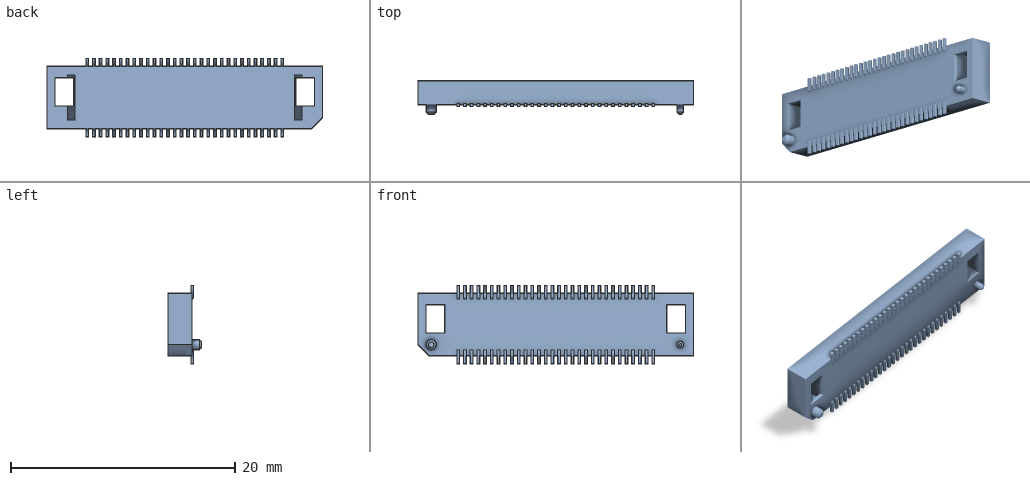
import cadquery as cq

BODY_LENGTH = 24.6
BODY_DEPTH = 2.15
BODY_HEIGHT = 5.6
CORNER_CHAMFER = 1.0

WINDOW_WIDTH = 1.65
WINDOW_HEIGHT = 2.5
WINDOW_END_MARGIN = 0.75
WINDOW_BOTTOM_MARGIN = 2.05

SLOT_FLOOR_THICKNESS = 0.35
SLOT_WINDOW_OVERLAP = 0.55
SLOT_INNER_REACH = 0.1
SLOT_HEIGHT = 4.0

PEG_LENGTH = 0.85
PEG_TIP_CHAMFER = 0.2
PEG_END_MARGIN = 1.2
PEG_BOTTOM_MARGIN = 1.0
LARGE_PEG_DIAMETER = 0.9
SMALL_PEG_DIAMETER = 0.6

LEADS_PER_ROW = 30
LEAD_PITCH = 0.6
LEAD_WIDTH = 0.25
LEAD_THICKNESS = 0.25
LEAD_STANDOFF = 0.15
LEAD_OVERHANG = 0.7
LEAD_BEND_INSET = 0.3

HALF_LENGTH = BODY_LENGTH / 2
HALF_HEIGHT = BODY_HEIGHT / 2
WINDOW_X = HALF_LENGTH - WINDOW_END_MARGIN - WINDOW_WIDTH / 2
WINDOW_Z = -HALF_HEIGHT + WINDOW_BOTTOM_MARGIN + WINDOW_HEIGHT / 2
PEG_X = HALF_LENGTH - PEG_END_MARGIN
PEG_Z = -HALF_HEIGHT + PEG_BOTTOM_MARGIN


def make_housing():
    """Block with the -X, -Z corner cut off."""
    block = cq.Workplane("XY").box(BODY_LENGTH, BODY_DEPTH, BODY_HEIGHT)
    block = block.edges("<X and <Z").chamfer(CORNER_CHAMFER)
    return block.translate((0, BODY_DEPTH / 2, 0))


def make_window(side):
    """Through window cutter; side is -1 for the -X end and +1 for the +X end."""
    cutter = cq.Workplane("XY").box(WINDOW_WIDTH, BODY_DEPTH, WINDOW_HEIGHT)
    return cutter.translate((side * WINDOW_X, BODY_DEPTH / 2, WINDOW_Z))


def make_slot(side):
    """Slot cutter, open at +Y, overlapping the inner part of the window."""
    width = SLOT_WINDOW_OVERLAP + SLOT_INNER_REACH
    depth = BODY_DEPTH - SLOT_FLOOR_THICKNESS
    window_inner_x = WINDOW_X - WINDOW_WIDTH / 2
    center_x = window_inner_x - SLOT_INNER_REACH + width / 2
    cutter = cq.Workplane("XY").box(width, depth, SLOT_HEIGHT)
    return cutter.translate((side * center_x, SLOT_FLOOR_THICKNESS + depth / 2, 0))


def make_peg(x, diameter):
    """Round peg standing out toward -Y with a chamfered tip."""
    peg = cq.Workplane("XZ").center(x, PEG_Z).circle(diameter / 2).extrude(PEG_LENGTH)
    return peg.faces("<Y").chamfer(PEG_TIP_CHAMFER)


def make_lead_row(side):
    """Row of leads; side is +1 for the +Z edge and -1 for the -Z edge."""
    outer_y = -LEAD_STANDOFF
    inner_y = outer_y + LEAD_THICKNESS
    tip_z = HALF_HEIGHT + LEAD_OVERHANG
    bend_z = HALF_HEIGHT - LEAD_BEND_INSET
    inner_end_z = bend_z - LEAD_THICKNESS
    lead = (
        cq.Workplane("YZ")
        .moveTo(inner_y, side * tip_z)
        .lineTo(outer_y, side * tip_z)
        .lineTo(outer_y, side * bend_z)
        .tangentArcPoint((inner_y, side * inner_end_z), relative=False)
        .close()
        .extrude(LEAD_WIDTH / 2, both=True)
    )
    first_x = -(LEADS_PER_ROW - 1) * LEAD_PITCH / 2
    row = cq.Workplane("XY")
    for index in range(LEADS_PER_ROW):
        row = row.add(lead.translate((first_x + index * LEAD_PITCH, 0, 0)))
    return row


result = make_housing()
for end in (-1, 1):
    result = result.cut(make_window(end)).cut(make_slot(end))

result = result.union(make_peg(-PEG_X, LARGE_PEG_DIAMETER))
result = result.union(make_peg(PEG_X, SMALL_PEG_DIAMETER))

for edge in (-1, 1):
    result = result.union(make_lead_row(edge))